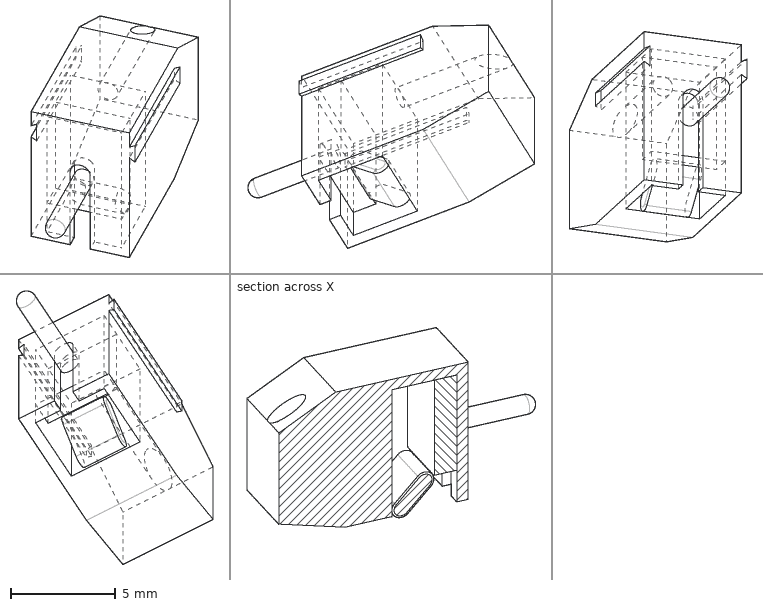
import cadquery as cq
import math


housing_width = 5.0
housing_length = 10.0
housing_height = 7.6
wall = 0.6
top_slope_length = 3.0
top_slope_drop = 1.55
bottom_slope_length = 3.5
bottom_slope_rise = 1.0

dovetail_depth = 0.29
dovetail_wide = 1.0
dovetail_angle = 60.0
dovetail_length = 6.5
dovetail_z = 6.4
dovetail_narrow = dovetail_wide - 2 * dovetail_depth / math.tan(math.radians(dovetail_angle))

slot_width = 1.02
slot_top = 4.98

wire_hole_diameter = 1.02
wire_hole_z = 6.54

clamp_thickness = 1.0
clamp_radius = clamp_thickness / 2
clamp_width = 2.4
clamp_tilt = 45.0
clamp_drop = 0.17
clamp_low_y = 3.52
clamp_low_z = clamp_radius - clamp_drop
clamp_high_z = 1.55
clamp_high_y = clamp_low_y - (clamp_high_z - clamp_low_z) * math.tan(math.radians(clamp_tilt))
clamp_end_height = 0.05
clamp_end_inset = 0.2

cavity_width = housing_width - 2 * wall
cavity_front = wall
cavity_back = clamp_low_y + clamp_radius
cavity_top = housing_height - wall

block_bottom = 1.75
block_back = clamp_high_y - clamp_radius
pin_diameter = 0.98
pin_radius = pin_diameter / 2
pin_projection = 4.05
pin_z = housing_height / 2


def box(width, y_min, y_max, z_min, z_max):
    """Box centred on x = 0 between the given y and z limits."""
    return (
        cq.Workplane("XY", origin=(0, (y_min + y_max) / 2, z_min))
        .rect(width, y_max - y_min)
        .extrude(z_max - z_min)
    )


def cylinder_along_y(diameter, y_min, y_max, z):
    """Cylinder on the middle plane with its axis along Y."""
    return (
        cq.Workplane("XZ", origin=(0, y_max, z))
        .circle(diameter / 2)
        .extrude(y_max - y_min)
    )


def make_dovetail(x_root):
    """Dovetail bar that is narrow at x_root and widens toward +X."""
    x_end = x_root + dovetail_depth
    return (
        cq.Workplane("XZ", origin=(0, dovetail_length, dovetail_z))
        .moveTo(x_root, -dovetail_narrow / 2)
        .lineTo(x_end, -dovetail_wide / 2)
        .lineTo(x_end, dovetail_wide / 2)
        .lineTo(x_root, dovetail_narrow / 2)
        .close()
        .extrude(dovetail_length)
    )


def make_slot():
    slot_radius = slot_width / 2
    straight_top = slot_top - slot_radius
    return (
        cq.Workplane("XZ", origin=(0, wall, 0))
        .moveTo(-slot_radius, 0)
        .lineTo(slot_radius, 0)
        .lineTo(slot_radius, straight_top)
        .threePointArc((0, slot_top), (-slot_radius, straight_top))
        .close()
        .extrude(wall)
    )


def make_housing():
    shell = (
        cq.Workplane("YZ", origin=(-housing_width / 2, 0, 0))
        .moveTo(0, 0)
        .lineTo(housing_length - bottom_slope_length, 0)
        .lineTo(housing_length, bottom_slope_rise)
        .lineTo(housing_length, housing_height - top_slope_drop)
        .lineTo(housing_length - top_slope_length, housing_height)
        .lineTo(0, housing_height)
        .close()
        .extrude(housing_width)
    )
    rail = make_dovetail(housing_width / 2)
    groove = make_dovetail(-housing_width / 2)
    cavity = box(cavity_width, cavity_front, cavity_back, 0, cavity_top)
    wire_hole = cylinder_along_y(wire_hole_diameter, cavity_back, housing_length, wire_hole_z)
    return shell.union(rail).cut(groove).cut(cavity).cut(make_slot()).cut(wire_hole)


def make_contact():
    block = box(cavity_width, cavity_front, block_back, block_bottom, cavity_top)
    nose_y = pin_radius - pin_projection
    shank = cylinder_along_y(pin_diameter, nose_y, block_back, pin_z)
    nose = cq.Workplane("XY", origin=(0, nose_y, pin_z)).sphere(pin_radius)
    return block.union(shank).union(nose)


def make_clamp():
    centre_distance = math.hypot(clamp_low_y - clamp_high_y, clamp_high_z - clamp_low_z)
    middle = (0, (clamp_low_y + clamp_high_y) / 2, (clamp_low_z + clamp_high_z) / 2)
    core_width = clamp_width - 2 * clamp_end_height
    end_taper = math.degrees(math.atan(clamp_end_inset / clamp_end_height))
    link = (
        cq.Workplane("YZ")
        .slot2D(centre_distance + clamp_thickness, clamp_thickness)
        .extrude(core_width / 2, both=True)
    )
    for side in (-1, 1):
        link = link.union(
            cq.Workplane("YZ", origin=(side * core_width / 2, 0, 0))
            .slot2D(centre_distance + clamp_thickness, clamp_thickness)
            .extrude(side * clamp_end_height, taper=end_taper)
        )
    return link.rotate((0, 0, 0), (1, 0, 0), clamp_tilt - 90).translate(middle)


housing = make_housing()
contact = make_contact()
clamp = make_clamp()

bodies = [body.solids().val() for body in (housing, contact, clamp)]
result = cq.Compound.makeCompound(bodies)